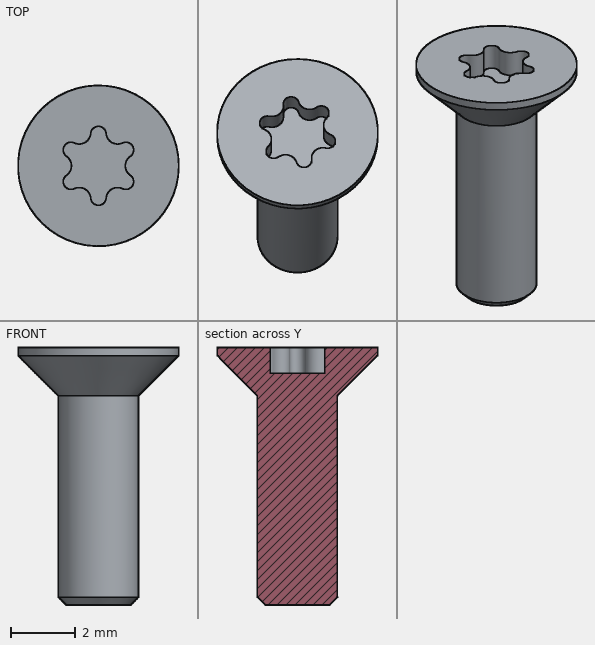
import cadquery as cq
import math


head_diameter = 5.0
shank_diameter = 2.5
total_length = 8.0
head_rim_height = 0.25
tip_chamfer = 0.25

lobe_count = 6
recess_tip_radius = 1.225
recess_valley_radius = 0.835
lobe_radius = 0.24
recess_depth = 0.8

head_radius = head_diameter / 2
shank_radius = shank_diameter / 2
cone_height = head_radius - shank_radius
head_height = head_rim_height + cone_height


def polar_point(radius, angle):
    return (radius * math.cos(angle), radius * math.sin(angle))


def make_screw_body():
    """Head, shank and chamfered tip as one revolved half profile."""
    half_profile = [
        (0, 0),
        (head_radius, 0),
        (head_radius, -head_rim_height),
        (shank_radius, -head_height),
        (shank_radius, -total_length + tip_chamfer),
        (shank_radius - tip_chamfer, -total_length),
        (0, -total_length),
    ]
    return cq.Workplane("XZ").polyline(half_profile).close().revolve(360, (0, 0), (0, 1))


def make_recess():
    """Six-lobed socket: convex lobe arcs tangent to concave valley arcs."""
    half_pitch = math.pi / lobe_count
    lobe_center = recess_tip_radius - lobe_radius

    cosine = math.cos(half_pitch)
    numerator = (
        lobe_center**2
        + recess_valley_radius**2
        - 2 * lobe_center * recess_valley_radius * cosine
        - lobe_radius**2
    )
    valley_arc_radius = numerator / (2 * (lobe_radius + lobe_center * cosine - recess_valley_radius))
    valley_center = recess_valley_radius + valley_arc_radius

    center_x, center_y = polar_point(valley_center, half_pitch)
    share = lobe_radius / (lobe_radius + valley_arc_radius)
    tangent_x = lobe_center + share * (center_x - lobe_center)
    tangent_y = share * center_y
    tangent_radius = math.hypot(tangent_x, tangent_y)
    tangent_angle = math.atan2(tangent_y, tangent_x)

    first_lobe_angle = math.pi / 2
    outline = cq.Workplane("XY").moveTo(*polar_point(tangent_radius, first_lobe_angle - tangent_angle))
    for index in range(lobe_count):
        lobe_angle = first_lobe_angle + 2 * half_pitch * index
        valley_angle = lobe_angle + half_pitch
        next_lobe_angle = valley_angle + half_pitch
        outline = outline.threePointArc(
            polar_point(recess_tip_radius, lobe_angle),
            polar_point(tangent_radius, lobe_angle + tangent_angle),
        )
        outline = outline.threePointArc(
            polar_point(recess_valley_radius, valley_angle),
            polar_point(tangent_radius, next_lobe_angle - tangent_angle),
        )
    return outline.close().extrude(-recess_depth)


result = make_screw_body().cut(make_recess())